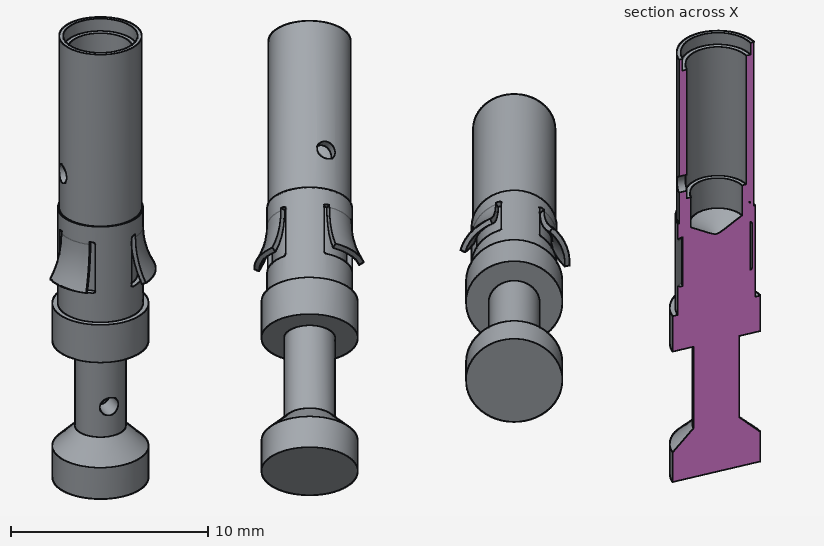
import math

import cadquery as cq

total_height = 25.2
collar_radius = 2.45
neck_radius = 1.3
foot_height = 1.8
cone_angle = 45.0
flange_bottom = 7.8
flange_top = 9.95
barrel_radius = 2.1

mouth_radius = 1.89
mouth_depth = 0.7
bore_radius = 1.65
bore_floor = 16.8
pilot_radius = 1.42
pilot_floor = 15.0
drill_point_angle = 118.0

sight_hole_diameter = 1.0
sight_hole_height = 17.72
neck_hole_diameter = 1.0
neck_hole_height = 4.65

clip_radius = 2.17
clip_thickness = 0.28
clip_top = 15.4
clip_inner_radius = clip_radius - clip_thickness
window_top = 14.5
window_bottom = 11.6
window_angle = 66.0
window_corner_radius = 0.12

tab_count = 3
first_tab_angle = 178.5
tab_angle = 50.0
tab_bend_top = 14.37
tab_bend_radius = 5.0
tab_bend_angle = 29.5
tab_root_angle = 4.0
tab_root_embed = 0.15


def revolve_about_axis(profile, degrees=360):
    """Revolve an XZ profile about the Z axis."""
    return profile.close().revolve(degrees, (0, 0, 0), (0, 1, 0))


def make_body():
    cone_height = (collar_radius - neck_radius) / math.tan(math.radians(cone_angle))
    profile = (
        cq.Workplane("XZ")
        .lineTo(collar_radius, 0)
        .lineTo(collar_radius, foot_height)
        .lineTo(neck_radius, foot_height + cone_height)
        .lineTo(neck_radius, flange_bottom)
        .lineTo(collar_radius, flange_bottom)
        .lineTo(collar_radius, flange_top)
        .lineTo(clip_radius, flange_top)
        .lineTo(clip_radius, clip_top)
        .lineTo(barrel_radius, clip_top)
        .lineTo(barrel_radius, total_height)
        .lineTo(0, total_height)
    )
    return revolve_about_axis(profile)


def make_bore():
    mouth_floor = total_height - mouth_depth
    point_depth = pilot_radius / math.tan(math.radians(drill_point_angle / 2))
    profile = (
        cq.Workplane("XZ")
        .moveTo(0, total_height)
        .lineTo(mouth_radius, total_height)
        .lineTo(mouth_radius, mouth_floor)
        .lineTo(bore_radius, mouth_floor)
        .lineTo(bore_radius, bore_floor)
        .lineTo(pilot_radius, bore_floor)
        .lineTo(pilot_radius, pilot_floor)
        .lineTo(0, pilot_floor - point_depth)
    )
    return revolve_about_axis(profile)


def make_sight_hole():
    """Hole through the -Y wall of the barrel."""
    return (
        cq.Workplane("XZ")
        .center(0, sight_hole_height)
        .circle(sight_hole_diameter / 2)
        .extrude(collar_radius)
    )


def make_neck_hole():
    """Blind hole from the +X side of the neck to its axis."""
    return (
        cq.Workplane("YZ")
        .center(0, neck_hole_height)
        .circle(neck_hole_diameter / 2)
        .extrude(collar_radius)
    )


def revolve_tab_sector(profile):
    """Revolve an XZ profile through the tab angle, centred on the +X side."""
    sector = revolve_about_axis(profile, tab_angle)
    sweep_direction = 1 if sector.val().Center().y > 0 else -1
    return sector.rotate((0, 0, 0), (0, 0, 1), -sweep_direction * tab_angle / 2)


def make_window():
    """Recess through the clip wall on the +X side, leaving the core and the stub of the tab."""
    width = 2 * clip_radius * math.sin(math.radians(window_angle / 2))
    height = window_top - window_bottom
    opening = (
        cq.Workplane("YZ")
        .center(0, (window_top + window_bottom) / 2)
        .rect(width, height)
        .extrude(collar_radius)
        .edges("|X")
        .fillet(window_corner_radius)
    )
    core = cq.Workplane("XY").circle(clip_inner_radius).extrude(total_height)
    stub_profile = (
        cq.Workplane("XZ")
        .moveTo(clip_inner_radius - tab_root_embed, tab_bend_top)
        .lineTo(collar_radius, tab_bend_top)
        .lineTo(collar_radius, clip_top)
        .lineTo(clip_inner_radius - tab_root_embed, clip_top)
    )
    return opening.cut(core).cut(revolve_tab_sector(stub_profile))


def bend_point(radius, degrees):
    """Point on an arc about the tab bend centre, measured down from the bend line."""
    turn = math.radians(degrees)
    centre_x = clip_radius + tab_bend_radius
    return centre_x - radius * math.cos(turn), tab_bend_top - radius * math.sin(turn)


def make_tab():
    """Curved tab on the +X side, hanging from its stub in the clip wall."""
    inner_bend_radius = tab_bend_radius + clip_thickness
    root_radius = clip_inner_radius - tab_root_embed
    root_corner = bend_point(inner_bend_radius, tab_root_angle)
    profile = (
        cq.Workplane("XZ")
        .moveTo(root_radius, tab_bend_top)
        .lineTo(clip_radius, tab_bend_top)
        .threePointArc(
            bend_point(tab_bend_radius, tab_bend_angle / 2),
            bend_point(tab_bend_radius, tab_bend_angle),
        )
        .lineTo(*bend_point(inner_bend_radius, tab_bend_angle))
        .threePointArc(
            bend_point(inner_bend_radius, tab_bend_angle / 2),
            root_corner,
        )
        .lineTo(root_radius, root_corner[1])
    )
    return revolve_tab_sector(profile)


def place_tab_feature(feature, index):
    angle = first_tab_angle + index * 360 / tab_count
    return feature.rotate((0, 0, 0), (0, 0, 1), angle)


result = make_body()
for tab_index in range(tab_count):
    result = result.cut(place_tab_feature(make_window(), tab_index))
for tab_index in range(tab_count):
    result = result.union(place_tab_feature(make_tab(), tab_index))
result = result.cut(make_bore()).cut(make_sight_hole()).cut(make_neck_hole())